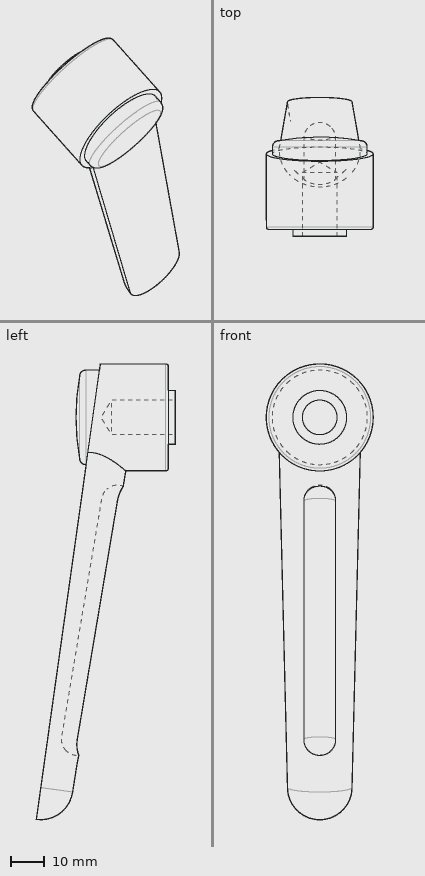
import cadquery as cq
import math

overall_height = 136.0
overall_depth = 41.5
lever_tilt = 8.0

hub_radius = 15.98
hub_edge_round = 0.8
boss_radius = 8.0
boss_length = 2.0
bore_radius = 5.2
bore_depth = 19.0
drill_point_angle = 118.0

cap_radius = 14.1
cap_shoulder_y = 24.6
cap_rim_round = 1.9
cap_crown_y = 27.6

lever_root_radius = 12.4
lever_tip_radius = 9.7

groove_radius = 4.8
groove_top = 23.7
groove_bottom = 95.8

tilt = math.radians(lever_tilt)
tip_drop = overall_height - hub_radius
cone_length = (tip_drop - lever_tip_radius) / math.cos(tilt)
lever_length = cone_length + lever_tip_radius
back_plane_y = overall_depth - boss_length - lever_length * math.sin(tilt)
taper = (lever_root_radius - lever_tip_radius) / cone_length


def place_on_back_plane(shape):
    """Tilt a shape modelled upright about the origin onto the back plane."""
    return shape.rotate((0, 0, 0), (1, 0, 0), lever_tilt).translate((0, back_plane_y, 0))


def disc_along_y(radius, start_y, end_y):
    """Cylinder on the hub axis between two positions along Y."""
    return cq.Workplane("XZ", origin=(0, end_y, 0)).circle(radius).extrude(end_y - start_y)


def front_half_space():
    """Large block filling the space in front of the upright back plane."""
    size = 3 * overall_height
    return cq.Workplane("XY").box(size, size, size).translate((0, -size / 2, 0))


def make_hub():
    barrel = disc_along_y(hub_radius, 0, cap_crown_y)
    barrel = barrel.faces("<Y").edges().fillet(hub_edge_round)
    return barrel.intersect(place_on_back_plane(front_half_space()))


def make_cap():
    """Revolved cap with a rounded rim and a shallow domed crown."""
    crown_radius = cap_radius - cap_rim_round
    rim_y = cap_shoulder_y + cap_rim_round
    crown_rise = cap_crown_y - rim_y
    sphere_radius = (crown_radius**2 + crown_rise**2) / (2 * crown_rise)
    mid_radius = crown_radius / 2
    mid_y = cap_crown_y - sphere_radius + math.sqrt(sphere_radius**2 - mid_radius**2)
    rim_diagonal = cap_rim_round * math.sqrt(0.5)
    return (
        cq.Workplane("XY")
        .moveTo(0, back_plane_y / 2)
        .lineTo(cap_radius, back_plane_y / 2)
        .lineTo(cap_radius, cap_shoulder_y)
        .threePointArc((crown_radius + rim_diagonal, cap_shoulder_y + rim_diagonal), (crown_radius, rim_y))
        .threePointArc((mid_radius, mid_y), (0, cap_crown_y))
        .close()
        .revolve(360, (0, 0, 0), (0, 1, 0))
    )


def make_groove():
    """Round-ended groove running parallel to the front of the tapered lever."""

    def axis_point(drop):
        radius_here = lever_root_radius - taper * drop
        edge_depth = math.sqrt(radius_here**2 - groove_radius**2)
        return cq.Vector(0, -edge_depth, -drop)

    top = axis_point(groove_top)
    bottom = axis_point(groove_bottom)
    run = bottom - top
    groove = cq.Workplane(cq.Solid.makeCylinder(groove_radius, run.Length, top, run))
    for end in (top, bottom):
        groove = groove.union(cq.Workplane("XY").sphere(groove_radius).translate(end))
    return groove


def make_lever():
    tip_diagonal = lever_tip_radius * math.sqrt(0.5)
    body = (
        cq.Workplane("XZ")
        .lineTo(lever_root_radius, 0)
        .lineTo(lever_tip_radius, -cone_length)
        .threePointArc((tip_diagonal, -cone_length - tip_diagonal), (0, -lever_length))
        .close()
        .revolve(360, (0, 0, 0), (0, 1, 0))
    )
    half = body.intersect(front_half_space())
    return place_on_back_plane(half.cut(make_groove()))


def make_bore():
    """Blind hole from the boss face with a conical drill point."""
    bottom_y = bore_depth - boss_length
    point_length = bore_radius / math.tan(math.radians(drill_point_angle / 2))
    return (
        cq.Workplane("XY")
        .moveTo(0, -boss_length)
        .lineTo(bore_radius, -boss_length)
        .lineTo(bore_radius, bottom_y)
        .lineTo(0, bottom_y + point_length)
        .close()
        .revolve(360, (0, 0, 0), (0, 1, 0))
    )


boss = disc_along_y(boss_radius, -boss_length, hub_edge_round)
result = make_hub().union(make_lever()).union(make_cap()).union(boss).cut(make_bore())